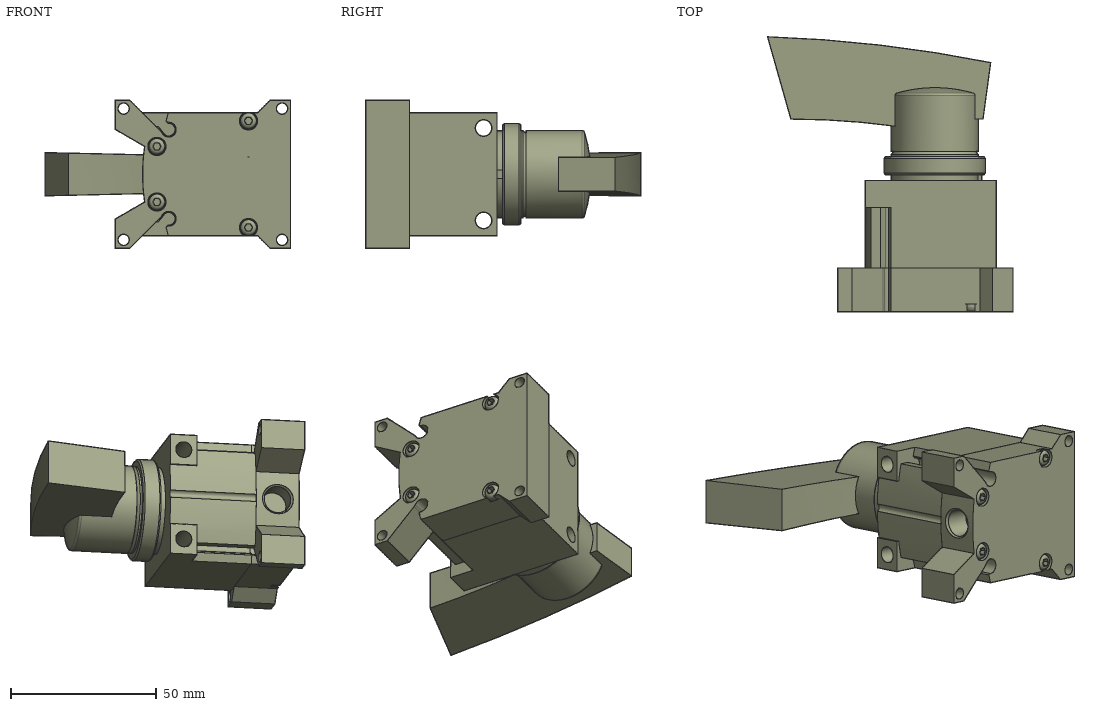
import cadquery as cq
import math


base_depth = 15.1
base_left = -33.4
base_right = 27.0
base_height = 51.0
base_half_height = base_height / 2
left_ear_top_width = 5.0
left_ear_inner_z = 15.4
right_ear_top_width = 7.0
waist_z = 9.6
mount_hole_dia = 3.8
mount_hole_inset = 2.9

block_left = -23.9
block_right = 21.2
block_half_height = 21.2
block_back = 45.2
left_face_radius = 69.1
left_face_groove_dia = 2.7
left_face_groove_offset = 0.5
post_front = 35.9
post_inner_z = 10.6
post_hole_dia = 5.6

channel_x = -14.9
channel_z = 15.3
block_channel_radius = 2.2
base_channel_radius = 2.6
channel_wall_top_x = -15.0
channel_lip_x = -15.9
channel_lip_z = 18.3
shelf_z = 16.5
shelf_right_x = -18.6
ear_slope_gap = 0.3
channel_start_angle = 95
channel_end_angle = 205

screw_recess_dia = 6.2
screw_recess_depth = 2.65
screw_head_dia = 5.5
screw_head_rounding = 1.3
socket_corner_dia = 2.7
socket_depth = 2.1
left_screw_x = -19.0
left_screw_z = waist_z
right_screw_x = 12.5
right_screw_z = 18.35

port_dia = 9.3
port_mouth_dia = 10.8
port_depth = 9.5

neck_dia = 30.0
neck_tip_dia = 28.4
neck_cone_start = 54.0
knob_front = 55.15
neck_tab_reach = 16.3
neck_tab_width = 2.8
ring_dia = 35.0
ring_front = 47.1
ring_back = 53.4
ring_chamfer = 0.6
hub_dia = 30.2
hub_rim_y = 75.0
hub_dome_y = 77.5
hub_rounding = 0.9

lever_tip_x = -57.5
lever_tip_y = 94.6
lever_tip_bottom_x = -49.5
lever_bottom_y = 66.2
lever_heel_top_x = 19.3
lever_heel_top_y = 85.7
lever_heel_bottom_x = 16.65
lever_top_bow = 1.6
lever_bottom_radius = 265.8
lever_bottom_end_x = -11.35
lever_tip_half_width = 7.5
lever_heel_half_width = 5.8


def left_face_x(z):
    """X of the convex left face at height z."""
    return block_left + left_face_radius - math.sqrt(left_face_radius**2 - z**2)


def prism(sketch, start_y, end_y):
    """Extrude a closed XZ outline from start_y to end_y along +Y."""
    return sketch.extrude(start_y - end_y).translate((0, start_y, 0))


def y_cylinder(dia, start_y, end_y, x=0.0, z=0.0):
    return prism(cq.Workplane("XZ").center(x, z).circle(dia / 2), start_y, end_y)


def mirrored_pair(solid):
    return solid.union(solid.mirror("XY"))


def channel_point(radius, angle):
    """Point on the channel circle at an angle in degrees measured from +X."""
    turn = math.radians(angle)
    return (channel_x + radius * math.cos(turn), channel_z + radius * math.sin(turn))


def corner_cut(radius, left_rim):
    """Corner relief: open above left_rim, with a round channel at its bottom."""
    above = block_half_height + base_half_height
    mid_angle = (channel_start_angle + channel_end_angle) / 2 - 180
    return (
        cq.Workplane("XZ")
        .moveTo(channel_wall_top_x, block_half_height)
        .lineTo(channel_lip_x, channel_lip_z)
        .lineTo(*channel_point(radius, channel_start_angle))
        .threePointArc(channel_point(radius, mid_angle), channel_point(radius, channel_end_angle))
        .polyline(left_rim, includeCurrent=True)
        .lineTo(left_rim[-1][0], above)
        .lineTo(channel_wall_top_x, above)
        .close()
    )


def make_base():
    ear_x = base_left + left_ear_top_width
    ear_slope_end = channel_x - base_channel_radius - ear_slope_gap
    right_ear_x = base_right - right_ear_top_width
    ear_rise = base_half_height - block_half_height
    waist_x = left_face_x(waist_z)
    upper_outline = [
        (waist_x, waist_z),
        (base_left, left_ear_inner_z),
        (base_left, base_half_height),
        (ear_x, base_half_height),
        (ear_x + ear_rise, block_half_height),
        (right_ear_x - ear_rise, block_half_height),
        (right_ear_x, base_half_height),
        (base_right, base_half_height),
    ]
    lower_outline = [(x, -z) for x, z in reversed(upper_outline)]
    body = prism(
        cq.Workplane("XZ")
        .polyline(upper_outline + lower_outline)
        .threePointArc((block_left, 0), (waist_x, waist_z))
        .close(),
        0,
        base_depth,
    )
    slope_end = (ear_slope_end, base_half_height - (ear_slope_end - ear_x))
    slope_start = (ear_x, base_half_height)
    relief = prism(corner_cut(base_channel_radius, [slope_end, slope_start]), 0, base_depth)
    body = body.cut(mirrored_pair(relief))

    hole_z = base_half_height - mount_hole_inset
    for x in (base_left + mount_hole_inset, base_right - mount_hole_inset):
        body = body.cut(mirrored_pair(y_cylinder(mount_hole_dia, 0, base_depth, x, hole_z)))

    for x, z in ((left_screw_x, left_screw_z), (right_screw_x, right_screw_z)):
        recess = y_cylinder(screw_recess_dia, 0, screw_recess_depth, x, z)
        body = body.cut(mirrored_pair(recess)).union(mirrored_pair(screw_head(x, z)))
    return body.cut(side_port())


def screw_head(x, z):
    head = y_cylinder(screw_head_dia, 0, screw_recess_depth, x, z)
    head = head.faces("<Y").edges().fillet(screw_head_rounding)
    socket = cq.Workplane("XZ").center(x, z).polygon(6, socket_corner_dia)
    return head.cut(prism(socket, 0, socket_depth))


def side_port():
    mouth = (port_mouth_dia - port_dia) / 2
    return (
        cq.Workplane("XY")
        .moveTo(block_left, 0)
        .lineTo(block_left, port_mouth_dia / 2)
        .lineTo(block_left + mouth, port_dia / 2)
        .lineTo(block_left + port_depth, port_dia / 2)
        .lineTo(block_left + port_depth, 0)
        .close()
        .revolve(360, (0, 0), (1, 0))
        .translate((0, base_depth / 2, 0))
    )


def make_block():
    corner_x = left_face_x(block_half_height)
    body = prism(
        cq.Workplane("XZ")
        .moveTo(corner_x, block_half_height)
        .lineTo(block_right, block_half_height)
        .lineTo(block_right, -block_half_height)
        .lineTo(corner_x, -block_half_height)
        .threePointArc((block_left, 0), (corner_x, block_half_height))
        .close(),
        base_depth,
        block_back,
    )
    rim = [(shelf_right_x, shelf_z), (block_left, shelf_z)]
    relief = prism(corner_cut(block_channel_radius, rim), base_depth, post_front)
    body = body.cut(mirrored_pair(relief))
    groove_x = block_left - left_face_groove_offset
    body = body.cut(y_cylinder(left_face_groove_dia, base_depth, block_back, groove_x))
    body = body.union(mirrored_pair(corner_post()))
    post_hole = (
        cq.Workplane("YZ", origin=(block_left, 0, 0))
        .center((post_front + block_back) / 2, (post_inner_z + block_half_height) / 2)
        .circle(post_hole_dia / 2)
        .extrude(block_right - block_left)
    )
    return body.cut(mirrored_pair(post_hole)).union(make_neck())


def corner_post():
    """Square-faced corner that fills the block out to its flat left plane."""
    return cq.Workplane("XY").box(
        channel_x - block_left,
        block_back - post_front,
        block_half_height - post_inner_z,
        centered=False,
    ).translate((block_left, post_front, post_inner_z))


def make_neck():
    neck = (
        cq.Workplane("XY")
        .moveTo(0, block_back)
        .lineTo(neck_dia / 2, block_back)
        .lineTo(neck_dia / 2, neck_cone_start)
        .lineTo(neck_tip_dia / 2, knob_front)
        .lineTo(0, knob_front)
        .close()
        .revolve(360, (0, 0), (0, 1))
    )
    tab = prism(
        cq.Workplane("XZ").center(neck_tab_reach / 2, 0).rect(neck_tab_reach, neck_tab_width),
        block_back,
        ring_front,
    )
    return neck.union(tab)


def make_ring():
    ring = y_cylinder(ring_dia, ring_front, ring_back).faces("<Y or >Y").chamfer(ring_chamfer)
    return ring.cut(y_cylinder(neck_dia, ring_front, ring_back))


def make_knob():
    hub_radius = hub_dia / 2
    rise = hub_dome_y - hub_rim_y
    dome_radius = (hub_radius**2 + rise**2) / (2 * rise)
    mid_radius = hub_radius / 2
    mid_y = hub_dome_y - dome_radius + math.sqrt(dome_radius**2 - mid_radius**2)
    hub = (
        cq.Workplane("XY")
        .moveTo(0, knob_front)
        .lineTo(hub_radius, knob_front)
        .lineTo(hub_radius, hub_rim_y)
        .threePointArc((mid_radius, mid_y), (0, hub_dome_y))
        .close()
        .revolve(360, (0, 0), (0, 1))
    )
    rim_margin = hub_rounding / 10
    rim = cq.selectors.BoxSelector(
        (-hub_dia, hub_rim_y - rim_margin, -hub_dia),
        (hub_dia, hub_rim_y + rim_margin, hub_dia),
        boundingbox=True,
    )
    return hub.edges(rim).fillet(hub_rounding).union(make_lever())


def bottom_curve_y(x):
    """Lower edge of the lever, level at its outer end and dipping toward the hub."""
    run = x - lever_tip_bottom_x
    return lever_bottom_y - lever_bottom_radius + math.sqrt(lever_bottom_radius**2 - run**2)


def make_lever():
    bottom_mid_x = (lever_tip_bottom_x + lever_bottom_end_x) / 2
    top_mid = (
        (lever_tip_x + lever_heel_top_x) / 2,
        (lever_tip_y + lever_heel_top_y) / 2 + lever_top_bow,
    )
    side_outline = (
        cq.Workplane("XY")
        .moveTo(lever_tip_x, lever_tip_y)
        .threePointArc(top_mid, (lever_heel_top_x, lever_heel_top_y))
        .lineTo(lever_heel_bottom_x, lever_bottom_y)
        .lineTo(lever_bottom_end_x, lever_bottom_y)
        .lineTo(lever_bottom_end_x, bottom_curve_y(lever_bottom_end_x))
        .threePointArc(
            (bottom_mid_x, bottom_curve_y(bottom_mid_x)), (lever_tip_bottom_x, lever_bottom_y)
        )
        .close()
        .extrude(lever_tip_half_width, both=True)
    )
    taper = prism(
        cq.Workplane("XZ").polyline(
            [
                (lever_tip_x, -lever_tip_half_width),
                (lever_heel_top_x, -lever_heel_half_width),
                (lever_heel_top_x, lever_heel_half_width),
                (lever_tip_x, lever_tip_half_width),
            ]
        ).close(),
        0,
        lever_tip_y + lever_top_bow,
    )
    return side_outline.intersect(taper)


base = make_base()
block = make_block()
ring = make_ring()
knob = make_knob()

result = cq.Compound.makeCompound([base.val(), block.val(), ring.val(), knob.val()])